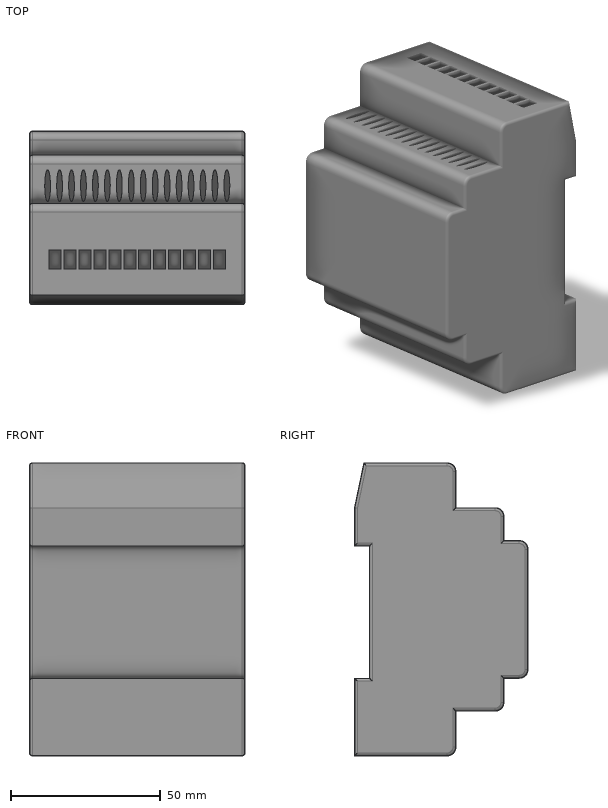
import cadquery as cq

width = 72.0
depth = 58.0
height = 98.0

terminal_depth = 33.9
shoulder_depth = 50.0
shoulder_inset = 15.0
nose_inset = 26.0
step_radius = 2.9

rail_depth = 5.0
rail_bottom = 26.0
rail_top = 70.2
slope_depth = 3.1
slope_height = 15.0

side_radius = 1.0

opening_count = 12
opening_span = 55.0
opening_width = 4.0
opening_length = 6.3
opening_depth = 5.9
opening_y = 15.1

vent_count = 16
vent_span = 60.0
vent_width = 2.0
vent_length = 10.5
vent_depth = 5.9
vent_y = 39.8


def row_points(count, span, y):
    """Evenly spaced points along X, centred on the housing."""
    pitch = span / (count - 1)
    return [(i * pitch - span / 2, y) for i in range(count)]


def make_body():
    """Side outline extruded across the width, with its edges rounded."""
    rear_outline = [
        (0, 0),
        (0, rail_bottom),
        (rail_depth, rail_bottom),
        (rail_depth, rail_top),
        (0, rail_top),
        (0, height - slope_height),
        (slope_depth, height),
    ]
    upper_steps = [
        (terminal_depth, height),
        (terminal_depth, height - shoulder_inset),
        (shoulder_depth, height - shoulder_inset),
        (shoulder_depth, height - nose_inset),
        (depth, height - nose_inset),
    ]
    lower_steps = [(y, height - z) for y, z in reversed(upper_steps)]
    body = (
        cq.Workplane("YZ")
        .polyline(rear_outline + upper_steps + lower_steps)
        .close()
        .extrude(width / 2, both=True)
    )

    for y, z in upper_steps[::2]:
        for corner_z in (z, height - z):
            corner = cq.selectors.NearestToPointSelector((0, y, corner_z))
            body = body.edges("|X").edges(corner).fillet(step_radius)

    return body.faces("<X or >X").edges().fillet(side_radius)


def make_openings():
    """Rectangular pockets cut down from the top face."""
    return (
        cq.Workplane("XY", origin=(0, 0, height))
        .pushPoints(row_points(opening_count, opening_span, opening_y))
        .rect(opening_width, opening_length)
        .extrude(-opening_depth)
    )


def make_vents():
    """Elliptical pockets cut down from the upper shoulder."""
    return (
        cq.Workplane("XY", origin=(0, 0, height - shoulder_inset))
        .pushPoints(row_points(vent_count, vent_span, vent_y))
        .ellipse(vent_width / 2, vent_length / 2)
        .extrude(-vent_depth)
    )


result = make_body().cut(make_openings()).cut(make_vents())